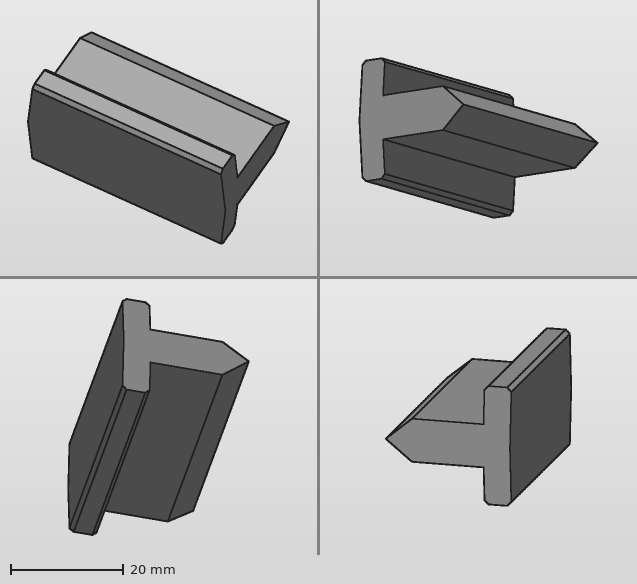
import cadquery as cq
import math

length = 40.5
depth = 23.0
height = 22.0

head_thickness = 5.0
head_chamfer = 0.75
stem_height = 8.0
tip_depth = 4.78

end_angle = 5.0
end_inset = height / 2 * math.tan(math.radians(end_angle))


def t_bar():
    """T-shaped bar along X: head at the front (-Y), stem pointing to +Y."""
    half_head = height / 2
    half_stem = stem_height / 2
    upper_half = [
        (0, half_head - head_chamfer),
        (head_chamfer, half_head),
        (head_thickness - head_chamfer, half_head),
        (head_thickness, half_head - head_chamfer),
        (head_thickness, half_stem),
        (depth - tip_depth, half_stem),
    ]
    lower_half = [(y, -z) for y, z in reversed(upper_half)]
    profile = upper_half + [(depth, 0)] + lower_half
    return cq.Workplane("YZ").polyline(profile).close().extrude(length / 2, both=True)


def end_envelope():
    """Six-sided XZ outline, widest at mid height, that shapes both ends."""
    ridge_x = length / 2
    edge_x = ridge_x - end_inset
    top_z = height / 2
    outline = [
        (-ridge_x, 0),
        (-edge_x, top_z),
        (edge_x, top_z),
        (ridge_x, 0),
        (edge_x, -top_z),
        (-edge_x, -top_z),
    ]
    return cq.Workplane("XZ").polyline(outline).close().extrude(-depth)


result = t_bar().intersect(end_envelope())